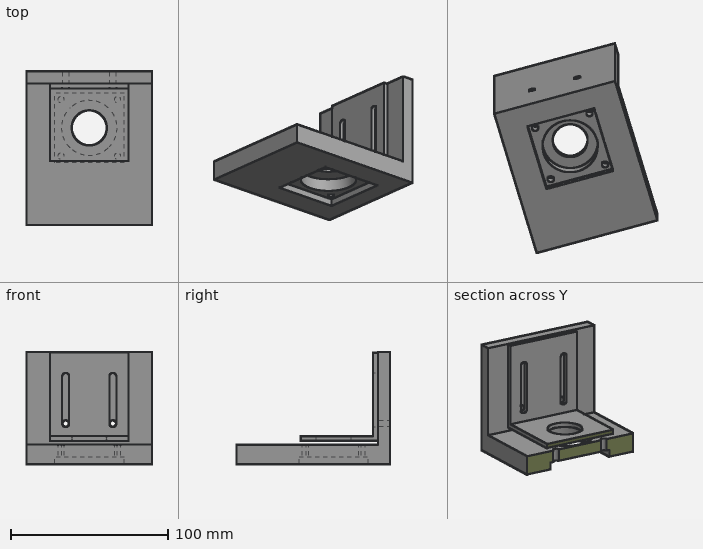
import cadquery as cq

bracket_width = 80.0
bracket_depth = 98.0
bracket_height = 71.5
base_thickness = 12.6
wall_thickness = 7.9
wall_front_y = bracket_depth - wall_thickness

plate_width = 50.0
plate_thickness = 3.0
plate_reach = 49.1
plate_bottom_z = 15.0
plate_top_z = 71.1
plate_height = plate_top_z - plate_bottom_z

bore_y = 61.9
plate_bore_diameter = 22.1
base_bore_diameter = 35.2

pocket_size = 44.1
pocket_depth = 4.6
screw_hole_diameter = 4.0
screw_spacing = 36.0

slot_spacing = 30.0
slot_width = 4.5
slot_travel = 30.0
wall_hole_diameter = 4.0
wall_hole_z = 26.0

slot_positions_x = [-slot_spacing / 2, slot_spacing / 2]


def block(width, depth, height, front_y, bottom_z):
    """Box centred on X, starting at the given front Y and bottom Z."""
    return (
        cq.Workplane("XY")
        .box(width, depth, height, centered=(True, False, False))
        .translate((0, front_y, bottom_z))
    )


def vertical_cylinder(diameter, height):
    """Cylinder on the bore axis, rising from Z = 0."""
    return cq.Workplane("XY").center(0, bore_y).circle(diameter / 2).extrude(height)


def make_bracket():
    base = block(bracket_width, bracket_depth, base_thickness, 0, 0)
    wall = block(bracket_width, wall_thickness, bracket_height, wall_front_y, 0)
    bracket = base.union(wall)

    bracket = bracket.cut(vertical_cylinder(base_bore_diameter, base_thickness))
    pocket = block(pocket_size, pocket_size, pocket_depth, bore_y - pocket_size / 2, 0)
    bracket = bracket.cut(pocket)

    screw_holes = (
        cq.Workplane("XY")
        .center(0, bore_y)
        .rarray(screw_spacing, screw_spacing, 2, 2)
        .circle(screw_hole_diameter / 2)
        .extrude(base_thickness)
    )
    bracket = bracket.cut(screw_holes)

    wall_holes = (
        cq.Workplane("XZ", origin=(0, wall_front_y, 0))
        .pushPoints([(x, wall_hole_z) for x in slot_positions_x])
        .circle(wall_hole_diameter / 2)
        .extrude(-wall_thickness)
    )
    return bracket.cut(wall_holes)


def make_sliding_plate():
    upright_front_y = wall_front_y - plate_thickness
    shelf_front_y = wall_front_y - plate_reach
    upright = block(plate_width, plate_thickness, plate_height, upright_front_y, plate_bottom_z)
    shelf = block(plate_width, plate_reach, plate_thickness, shelf_front_y, plate_bottom_z)
    plate = upright.union(shelf)

    plate = plate.cut(vertical_cylinder(plate_bore_diameter, plate_bottom_z + plate_thickness))

    slot_center_z = wall_hole_z + slot_travel / 2
    slots = (
        cq.Workplane("XZ", origin=(0, upright_front_y, 0))
        .pushPoints([(x, slot_center_z) for x in slot_positions_x])
        .slot2D(slot_travel + slot_width, slot_width, 90)
        .extrude(-plate_thickness)
    )
    return plate.cut(slots)


bracket = make_bracket()
sliding_plate = make_sliding_plate()
result = cq.Compound.makeCompound([bracket.val(), sliding_plate.val()])